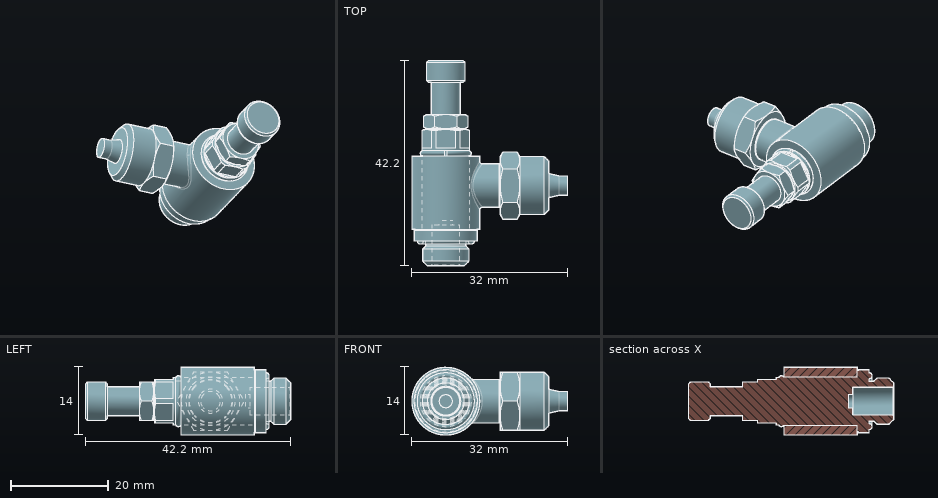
import cadquery as cq
import math


sleeve_d = 14.0
sleeve_front = -9.0
sleeve_back = 6.1
bore_d = 9.85

stem_d = 9.0
stem_fillet = 0.5
relief_d = 8.75
relief_start = 11.0
outlet_nut_start = 11.2
outlet_nut_end = 15.2
outlet_nut_flats = 12.0
outlet_nut_corners = 14.0
outlet_nut_face_d = outlet_nut_flats
cap_d = outlet_nut_flats
cap_end = 21.2
cap_chamfer = 0.97
cone_d = 5.0
tube_d = 4.0
cone_end = 23.3
overall_width = 32.0
tube_end = overall_width - sleeve_d / 2

thread_end = -16.5
thread_d = 9.6
thread_chamfer = 1.0
thread_start = -13.05
neck_d = 8.3
neck_end = -12.38
port_d = 5.7
port_depth = 8.45
port_chamfer = 0.232
pilot_d = 2.7
pilot_depth = 0.85
seal_round = 0.65
seal_d = 11.75
flange_front = -11.4
flange_back = -9.2
flange_d = 13.0
groove_d = 12.67
ring_back = 7.2
ring_d = 10.5
ring_groove_d = 8.3
ring_gap = 0.5
collar_d = bore_d
collar_back = 7.7
body_hex_back = 11.57
body_hex_flats = 9.0
body_hex_chamfer_length = 0.25
body_hex_chamfer_depth = 0.5
lock_nut_start = 11.7
lock_nut_end = 14.6
lock_nut_flats = 8.0
lock_nut_gap_d = lock_nut_flats
spindle_d = 6.0
knob_start = 21.2
knob_end = 25.72
knob_d = lock_nut_flats
knob_chamfer = 0.42

CHAMFER_ANGLE = math.radians(30)


def cylinder(diameter, start, end):
    """Round bar along Z between two stations."""
    return cq.Workplane("XY").workplane(offset=start).circle(diameter / 2).extrude(end - start)


def hexagon(flats, start, end):
    """Hexagonal bar along Z with two corners on the X axis."""
    corners = flats / math.cos(math.pi / 6)
    return cq.Workplane("XY").workplane(offset=start).polygon(6, corners).extrude(end - start)


def chamfered_hexagon(flats, corners_d, face_d, start, end):
    """Hexagonal nut along Z whose corners are turned off conically at both ends."""
    drop = (corners_d - face_d) / 2 * math.tan(CHAMFER_ANGLE)
    envelope = (
        cq.Workplane("XZ")
        .moveTo(0, start)
        .lineTo(face_d / 2, start)
        .lineTo(corners_d / 2, start + drop)
        .lineTo(corners_d / 2, end - drop)
        .lineTo(face_d / 2, end)
        .lineTo(0, end)
        .close()
        .revolve(360, (0, 0), (0, 1))
    )
    return hexagon(flats, start, end).intersect(envelope)


def along_x(shape):
    """Turn a shape built along Z to lie along X, with its X corners on the Y axis."""
    return shape.rotate((0, 0, 0), (0, 0, 1), 90).rotate((0, 0, 0), (0, 1, 0), 90)


def along_y(shape):
    """Turn a shape built along Z to lie along Y."""
    return shape.rotate((0, 0, 0), (1, 0, 0), -90)


def make_outlet_fitting():
    """Relief, hexagon, cap and tube tip at the end of the outlet branch."""
    relief = cylinder(relief_d, relief_start, outlet_nut_start)
    nut = chamfered_hexagon(
        outlet_nut_flats, outlet_nut_corners, outlet_nut_face_d, outlet_nut_start, outlet_nut_end
    )
    cap = cylinder(cap_d, outlet_nut_end, cap_end).faces(">Z").chamfer(cap_chamfer)
    tip = (
        cq.Workplane("XZ")
        .moveTo(0, cap_end)
        .lineTo(cone_d / 2, cap_end)
        .lineTo(tube_d / 2, cone_end)
        .lineTo(tube_d / 2, tube_end)
        .lineTo(0, tube_end)
        .close()
        .revolve(360, (0, 0), (0, 1))
    )
    return along_x(relief.union(nut).union(cap).union(tip))


def make_elbow():
    """Sleeve with its filleted branch stem and outlet fitting, bored for the cartridge."""
    sleeve = along_y(cylinder(sleeve_d, sleeve_front, sleeve_back))
    stem = along_x(cylinder(stem_d, 0, relief_start))
    tee = sleeve.union(stem)
    branch_edges = [
        edge for edge in tee.edges().vals()
        if edge.geomType() not in ("CIRCLE", "LINE")
    ]
    tee = tee.newObject(branch_edges).fillet(stem_fillet)
    bore = along_y(cylinder(bore_d, sleeve_front, sleeve_back))
    return tee.union(make_outlet_fitting()).cut(bore)


def make_threaded_end():
    """Thread, neck, rounded seal and flange in front of the sleeve."""
    thread_r = thread_d / 2
    profile = (
        cq.Workplane("XZ")
        .moveTo(0, thread_end)
        .lineTo(thread_r - thread_chamfer, thread_end)
        .lineTo(thread_r, thread_end + thread_chamfer)
        .lineTo(thread_r, thread_start)
        .lineTo(neck_d / 2, neck_end)
        .lineTo(neck_d / 2, flange_front)
        .lineTo(seal_d / 2 - 2 * seal_round, flange_front)
        .threePointArc((seal_d / 2 - seal_round, flange_front - seal_round), (seal_d / 2, flange_front))
        .lineTo(flange_d / 2, flange_front)
        .lineTo(flange_d / 2, flange_back)
        .lineTo(groove_d / 2, flange_back)
        .lineTo(groove_d / 2, sleeve_front)
        .lineTo(0, sleeve_front)
        .close()
    )
    return profile.revolve(360, (0, 0), (0, 1))


def make_port():
    """Stepped blind port in the threaded end, with a small entry chamfer."""
    port_floor = thread_end + port_depth
    port = cylinder(port_d, thread_end, port_floor)
    entry = (
        cq.Workplane("XY").workplane(offset=thread_end)
        .circle(port_d / 2 + port_chamfer)
        .extrude(port_chamfer, taper=45)
    )
    pilot = cylinder(pilot_d, port_floor, port_floor + pilot_depth)
    return port.union(entry).union(pilot)


def make_retaining_ring():
    """Split round-edged ring on its groove floor, resting on the back face of the sleeve."""
    round_r = (ring_back - sleeve_back) / 2
    flat_r = ring_d / 2 - round_r
    profile = (
        cq.Workplane("XZ")
        .moveTo(0, sleeve_back)
        .lineTo(flat_r, sleeve_back)
        .threePointArc((ring_d / 2, sleeve_back + round_r), (flat_r, ring_back))
        .lineTo(0, ring_back)
        .close()
    )
    ring = profile.revolve(360, (0, 0), (0, 1))
    split = (
        cq.Workplane("XY").workplane(offset=sleeve_back)
        .center(0, -ring_d / 2)
        .rect(ring_gap, ring_d)
        .extrude(ring_back - sleeve_back)
    )
    groove_floor = cylinder(ring_groove_d, sleeve_back, ring_back)
    return ring.cut(split).union(groove_floor)


def make_body_hexagon():
    """Hexagon cut on the round collar, so that its corners stay round."""
    round_bar = (
        cylinder(collar_d, collar_back, body_hex_back)
        .faces(">Z").edges()
        .chamfer(body_hex_chamfer_length, body_hex_chamfer_depth)
    )
    flats = hexagon(body_hex_flats, collar_back, body_hex_back)
    return round_bar.intersect(flats)


def make_cartridge():
    """Threaded valve cartridge with hexagons and adjusting knob."""
    barrel = cylinder(bore_d, sleeve_front, sleeve_back)
    collar = cylinder(collar_d, ring_back, collar_back)
    gap = cylinder(lock_nut_gap_d, body_hex_back, lock_nut_start)
    lock_nut_corners = lock_nut_flats / math.cos(math.pi / 6)
    lock_nut = chamfered_hexagon(
        lock_nut_flats, lock_nut_corners, lock_nut_flats, lock_nut_start, lock_nut_end
    )
    spindle = cylinder(spindle_d, lock_nut_end, knob_start)
    knob = cylinder(knob_d, knob_start, knob_end).faces("<Z or >Z").chamfer(knob_chamfer)
    cartridge = make_threaded_end()
    sections = (
        barrel, make_retaining_ring(), collar, make_body_hexagon(), gap, lock_nut, spindle, knob
    )
    for section in sections:
        cartridge = cartridge.union(section)
    return along_y(cartridge.cut(make_port()))


elbow = make_elbow()
cartridge = make_cartridge()
result = cq.Compound.makeCompound([elbow.solids().val(), cartridge.solids().val()])